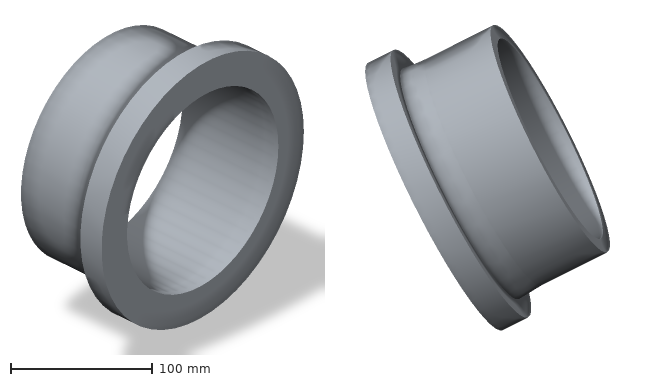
import cadquery as cq

total_length = 92.0
collar_thickness = 20.4
taper_length = 18.9
collar_diameter = 212.0
taper_end_diameter = 183.0
pipe_diameter = 180.0
bore_diameter = 158.5

collar_start = total_length - collar_thickness
taper_start = collar_start - taper_length

half_section = (
    cq.Workplane("XY")
    .moveTo(0, bore_diameter / 2)
    .lineTo(0, pipe_diameter / 2)
    .lineTo(taper_start, pipe_diameter / 2)
    .lineTo(collar_start, taper_end_diameter / 2)
    .lineTo(collar_start, collar_diameter / 2)
    .lineTo(total_length, collar_diameter / 2)
    .lineTo(total_length, bore_diameter / 2)
    .close()
)

result = half_section.revolve(360, (0, 0, 0), (1, 0, 0))